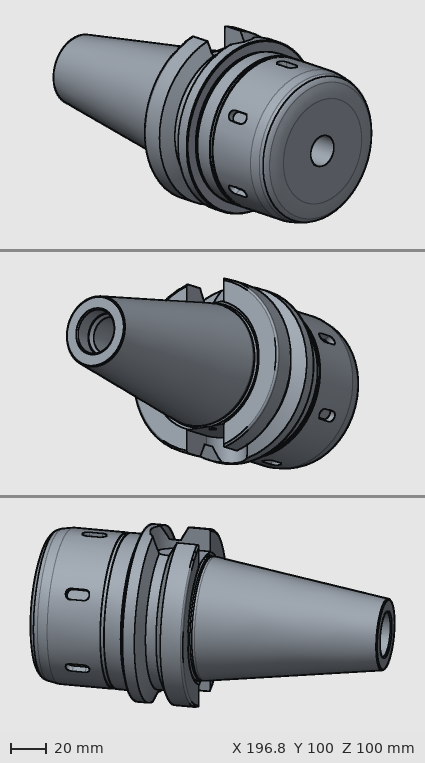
import cadquery as cq
import math

length = 196.8
flange_start = 104.7
flange_end = 139.7

taper_end = 101.7
gauge_diameter = 69.9
taper_rate = 7 / 24
tip_chamfer = 0.5

neck_end = 103.1
undercut_start = 104.3
undercut_depth = 0.8
undercut_diameter = 68.9
undercut_root_diameter = 71.0
undercut_rim_diameter = 74.2
undercut_bulge = 0.3

flange_diameter = 100.0
flange_front_rounding = 1.2
flange_back_chamfer = 0.5
groove_diameter = 84.6
groove_floor_start = 121.8
groove_floor_width = 6.1
groove_wall_angle = 60

nut_diameter = 88.0
relief_diameter = 87.0
nut_start = 140.5
nut_start_chamfer = 1.4
nut_groove_start = 151.5
nut_groove_end = 153.7
nose_start = 184.5
nose_shoulder = 190.3
nose_shoulder_diameter = 85.8
nose_corner_start = 192.7
nose_corner_start_diameter = 84.0
nose_corner_end = 195.0
nose_corner_end_diameter = 78.7
nose_corner_bulge = 0.2
end_crown_bulge = 0.4
end_face_diameter = 60.6

drive_slot_width = 25.4
drive_slot_end = 135.8
drive_slot_floor = 35.2
cross_hole_diameter = 3.3
cross_hole_mouth_diameter = 4.0
cross_hole_x = 111.8

spanner_slots = 6
spanner_slot_length = 13.8
spanner_slot_width = 6.3
spanner_slot_depth = 4.0
spanner_slot_x = 168.3

mouth_diameter = 26.5
mouth_chamfer = 0.8
counterbore_diameter = 25.0
counterbore_depth = 10.5
lead_in_diameter = 24.0
lead_in_length = 2.5
thread_diameter = 21.0
thread_end = 39.4
thread_runout = 1.5
through_diameter = 18.0


def bulged_midpoint(start, end, bulge):
    """Middle point of an arc that stands off its chord by bulge, to the left going from start to end."""
    run = end[0] - start[0]
    rise = end[1] - start[1]
    chord = math.hypot(run, rise)
    return (
        (start[0] + end[0]) / 2 - bulge * rise / chord,
        (start[1] + end[1]) / 2 + bulge * run / chord,
    )


def turned_body():
    """Solid of revolution about X: taper, neck, flange, nut and nose."""
    tip_radius = (gauge_diameter - taper_end * taper_rate) / 2
    gauge_radius = gauge_diameter / 2
    undercut_radius = undercut_diameter / 2
    root_radius = undercut_root_diameter / 2
    rim_radius = undercut_rim_diameter / 2
    flange_radius = flange_diameter / 2
    groove_radius = groove_diameter / 2
    nut_radius = nut_diameter / 2
    relief_radius = relief_diameter / 2
    shoulder_radius = nose_shoulder_diameter / 2
    corner_start_radius = nose_corner_start_diameter / 2
    corner_end_radius = nose_corner_end_diameter / 2
    end_face_radius = end_face_diameter / 2

    wall_run = (flange_radius - groove_radius) / math.tan(math.radians(groove_wall_angle))
    groove_floor_end = groove_floor_start + groove_floor_width
    undercut_end = flange_start + undercut_depth
    undercut_mid = bulged_midpoint(
        (undercut_start, undercut_radius), (undercut_end, root_radius), -undercut_bulge
    )
    corner_mid = bulged_midpoint(
        (nose_corner_start, corner_start_radius), (nose_corner_end, corner_end_radius), nose_corner_bulge
    )
    crown_mid = bulged_midpoint(
        (nose_corner_end, corner_end_radius), (length, end_face_radius), end_crown_bulge
    )

    profile = (
        cq.Workplane("XY")
        .moveTo(0, 0)
        .lineTo(0, tip_radius - tip_chamfer)
        .lineTo(tip_chamfer, tip_radius + tip_chamfer * taper_rate / 2)
        .lineTo(taper_end, gauge_radius)
        .lineTo(neck_end, gauge_radius)
        .lineTo(undercut_start, undercut_radius)
        .threePointArc(undercut_mid, (undercut_end, root_radius))
        .lineTo(flange_start, rim_radius)
        .lineTo(flange_start, flange_radius - flange_front_rounding)
        .radiusArc((flange_start + flange_front_rounding, flange_radius), flange_front_rounding)
        .lineTo(groove_floor_start - wall_run, flange_radius)
        .lineTo(groove_floor_start, groove_radius)
        .lineTo(groove_floor_end, groove_radius)
        .lineTo(groove_floor_end + wall_run, flange_radius)
        .lineTo(flange_end - flange_back_chamfer, flange_radius)
        .lineTo(flange_end, flange_radius - flange_back_chamfer)
        .lineTo(flange_end, relief_radius)
        .lineTo(nut_start, relief_radius)
        .lineTo(nut_start + nut_start_chamfer, nut_radius)
        .lineTo(nut_groove_start, nut_radius)
        .lineTo(nut_groove_start, relief_radius)
        .lineTo(nut_groove_end, relief_radius)
        .lineTo(nut_groove_end, nut_radius)
        .lineTo(nose_start, nut_radius)
        .lineTo(nose_shoulder, shoulder_radius)
        .lineTo(nose_corner_start, corner_start_radius)
        .threePointArc(corner_mid, (nose_corner_end, corner_end_radius))
        .threePointArc(crown_mid, (length, end_face_radius))
        .lineTo(length, 0)
        .close()
    )
    return profile.revolve(360, (0, 0, 0), (1, 0, 0))


def stepped_bore():
    """Bore along X: chamfered mouth, counterbore, tapered lead-in, thread core and through hole."""
    counterbore_radius = counterbore_diameter / 2
    thread_radius = thread_diameter / 2
    through_radius = through_diameter / 2
    profile = (
        cq.Workplane("XY")
        .moveTo(0, 0)
        .lineTo(0, mouth_diameter / 2)
        .lineTo(mouth_chamfer, counterbore_radius)
        .lineTo(counterbore_depth, counterbore_radius)
        .lineTo(counterbore_depth, lead_in_diameter / 2)
        .lineTo(counterbore_depth + lead_in_length, thread_radius)
        .lineTo(thread_end, thread_radius)
        .lineTo(thread_end + thread_runout, through_radius)
        .lineTo(length, through_radius)
        .lineTo(length, 0)
        .close()
    )
    return profile.revolve(360, (0, 0, 0), (1, 0, 0))


def drive_slot():
    """Round-ended slot above the +Z slot floor, open through the taper side of the flange."""
    end_radius = drive_slot_width / 2
    arc_center_x = drive_slot_end - end_radius
    height = flange_diameter / 2 - drive_slot_floor
    slot_start = taper_end
    return (
        cq.Workplane("XY", origin=(0, 0, drive_slot_floor))
        .moveTo(slot_start, -end_radius)
        .lineTo(arc_center_x, -end_radius)
        .threePointArc((drive_slot_end, 0), (arc_center_x, end_radius))
        .lineTo(slot_start, end_radius)
        .close()
        .extrude(height)
    )


def cross_hole():
    """Hole along Z with a 45 degree countersink at both drive slot floors."""
    hole_radius = cross_hole_diameter / 2
    mouth_radius = cross_hole_mouth_diameter / 2
    countersink_depth = mouth_radius - hole_radius
    profile = (
        cq.Workplane("XZ")
        .moveTo(0, -drive_slot_floor)
        .lineTo(mouth_radius, -drive_slot_floor)
        .lineTo(hole_radius, countersink_depth - drive_slot_floor)
        .lineTo(hole_radius, drive_slot_floor - countersink_depth)
        .lineTo(mouth_radius, drive_slot_floor)
        .lineTo(0, drive_slot_floor)
        .close()
    )
    return profile.revolve(360, (0, 0, 0), (0, 1, 0)).translate((cross_hole_x, 0, 0))


def spanner_slot():
    """Flat-floored slot cut into the +Z side of the nut."""
    floor = nut_diameter / 2 - spanner_slot_depth
    return (
        cq.Workplane("XY", origin=(spanner_slot_x, 0, floor))
        .slot2D(spanner_slot_length, spanner_slot_width)
        .extrude(2 * spanner_slot_depth)
    )


def turn_about_axis(shape, angle):
    return shape.rotate((0, 0, 0), (1, 0, 0), angle)


result = turned_body().cut(stepped_bore())

for angle in (0, 180):
    result = result.cut(turn_about_axis(drive_slot(), angle))

result = result.cut(cross_hole())

for index in range(spanner_slots):
    result = result.cut(turn_about_axis(spanner_slot(), index * 360 / spanner_slots))